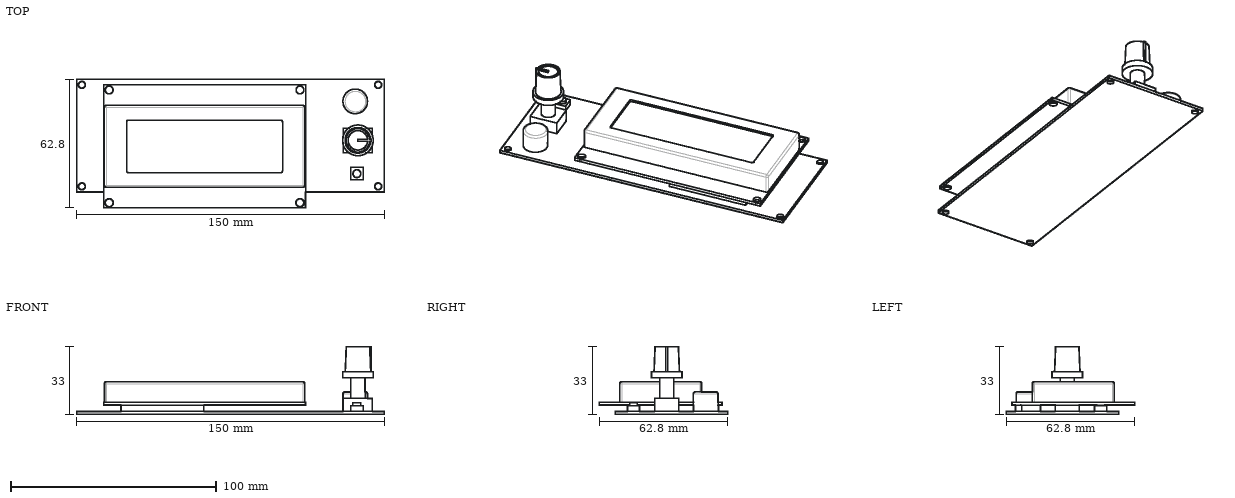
import cadquery as cq

BOARD_LENGTH = 150.0
BOARD_WIDTH = 55.0
BOARD_THICKNESS = 1.5
BOARD_HOLE_DIAMETER = 3.2
BOARD_HOLE_SPACING = (144.5, 49.5)
BOARD_HOLE_CENTER = (BOARD_LENGTH / 2 - 0.25, BOARD_WIDTH / 2)

DISPLAY_LENGTH = 98.5
DISPLAY_WIDTH = 60.0
DISPLAY_OVERHANG = 7.75
DISPLAY_LEFT = 13.1
DISPLAY_GAP = 3.0
DISPLAY_HOLE_DIAMETER = 3.8
DISPLAY_HOLE_SPACING = (93.0, 55.0)
DISPLAY_CENTER = (DISPLAY_LEFT + DISPLAY_LENGTH / 2, DISPLAY_WIDTH / 2 - DISPLAY_OVERHANG)
DISPLAY_BOTTOM = BOARD_THICKNESS + DISPLAY_GAP
DISPLAY_TOP = DISPLAY_BOTTOM + BOARD_THICKNESS

BEZEL_LENGTH = 97.7
BEZEL_WIDTH = 40.0
BEZEL_HEIGHT = 10.0
BEZEL_ROUNDING = 1.0
WINDOW_LENGTH = 76.0
WINDOW_WIDTH = 25.6
WINDOW_DEPTH = 1.0
WINDOW_CORNER_RADIUS = 0.8

CONNECTOR_LENGTH = 40.4
CONNECTOR_WIDTH = 3.0
CONNECTOR_CENTER = (41.8, 49.0)

BUZZER_DIAMETER = 12.0
BUZZER_HEIGHT = 9.5
BUZZER_ROUNDING = 1.0
BUZZER_CENTER = (135.8, 44.2)

ENCODER_CENTER = (137.1, 25.2)
ENCODER_LENGTH = 14.2
ENCODER_WIDTH = 11.9
ENCODER_HEIGHT = 6.3
SHAFT_DIAMETER = 7.0

KNOB_TOP = 33.0
KNOB_FLANGE_BOTTOM = 17.8
KNOB_FLANGE_TOP = 20.8
KNOB_FLANGE_DIAMETER = 15.0
KNOB_BASE_DIAMETER = 12.5
KNOB_CROWN_DIAMETER = 11.5
KNOB_RECESS_DIAMETER = 9.5
KNOB_RECESS_DEPTH = 0.5
POINTER_LENGTH = 6.5
POINTER_WIDTH = 1.0

BUTTON_CENTER = (136.6, 8.95)
BUTTON_SIZE = 6.0
BUTTON_HEIGHT = 2.8
BUTTON_CAP_DIAMETER = 3.8
BUTTON_CAP_HEIGHT = 1.3


def block(center, length, width, bottom, height):
    """Box centred on an XY point, standing on the level `bottom`."""
    plane = cq.Workplane("XY", origin=(*center, bottom))
    return plane.box(length, width, height, centered=(True, True, False))


def cylinder(center, diameter, bottom, height):
    """Upright cylinder standing on the level `bottom`."""
    return cq.Workplane("XY", origin=(*center, bottom)).circle(diameter / 2).extrude(height)


def corner_holes(center, spacing, diameter, bottom):
    """Four hole cutters through a board, one near each corner."""
    plane = cq.Workplane("XY", origin=(*center, bottom))
    return plane.rarray(*spacing, 2, 2).circle(diameter / 2).extrude(BOARD_THICKNESS)


def make_main_board():
    center = (BOARD_LENGTH / 2, BOARD_WIDTH / 2)
    board = block(center, BOARD_LENGTH, BOARD_WIDTH, 0, BOARD_THICKNESS)
    return board.cut(corner_holes(BOARD_HOLE_CENTER, BOARD_HOLE_SPACING, BOARD_HOLE_DIAMETER, 0))


def make_display():
    board = block(DISPLAY_CENTER, DISPLAY_LENGTH, DISPLAY_WIDTH, DISPLAY_BOTTOM, BOARD_THICKNESS)
    board = board.cut(
        corner_holes(DISPLAY_CENTER, DISPLAY_HOLE_SPACING, DISPLAY_HOLE_DIAMETER, DISPLAY_BOTTOM)
    )
    bezel = block(DISPLAY_CENTER, BEZEL_LENGTH, BEZEL_WIDTH, DISPLAY_TOP, BEZEL_HEIGHT)
    bezel = bezel.edges("|Z or >Z").fillet(BEZEL_ROUNDING)
    window_floor = DISPLAY_TOP + BEZEL_HEIGHT - WINDOW_DEPTH
    window = block(DISPLAY_CENTER, WINDOW_LENGTH, WINDOW_WIDTH, window_floor, WINDOW_DEPTH)
    window = window.edges("|Z").fillet(WINDOW_CORNER_RADIUS)
    return board.union(bezel.cut(window))


def make_connector():
    return block(CONNECTOR_CENTER, CONNECTOR_LENGTH, CONNECTOR_WIDTH, BOARD_THICKNESS, DISPLAY_GAP)


def make_buzzer():
    buzzer = cylinder(BUZZER_CENTER, BUZZER_DIAMETER, BOARD_THICKNESS, BUZZER_HEIGHT)
    return buzzer.faces(">Z").edges().fillet(BUZZER_ROUNDING)


def make_encoder():
    body = block(ENCODER_CENTER, ENCODER_LENGTH, ENCODER_WIDTH, BOARD_THICKNESS, ENCODER_HEIGHT)
    shaft_bottom = BOARD_THICKNESS + ENCODER_HEIGHT
    shaft_height = KNOB_FLANGE_BOTTOM - shaft_bottom
    return body.union(cylinder(ENCODER_CENTER, SHAFT_DIAMETER, shaft_bottom, shaft_height))


def make_knob():
    """Flanged, tapered knob with a dished top and a pointer rib running down its +X side."""
    half_profile = [
        (0, KNOB_FLANGE_BOTTOM),
        (KNOB_FLANGE_DIAMETER / 2, KNOB_FLANGE_BOTTOM),
        (KNOB_FLANGE_DIAMETER / 2, KNOB_FLANGE_TOP),
        (KNOB_BASE_DIAMETER / 2, KNOB_FLANGE_TOP),
        (KNOB_CROWN_DIAMETER / 2, KNOB_TOP),
        (KNOB_RECESS_DIAMETER / 2, KNOB_TOP),
        (KNOB_RECESS_DIAMETER / 2, KNOB_TOP - KNOB_RECESS_DEPTH),
        (0, KNOB_TOP - KNOB_RECESS_DEPTH),
    ]
    knob = cq.Workplane("XZ", origin=(*ENCODER_CENTER, 0)).polyline(half_profile).close()
    knob = knob.revolve(360, (0, 0), (0, 1))
    pointer_center = (ENCODER_CENTER[0] + POINTER_LENGTH / 2, ENCODER_CENTER[1])
    pointer_height = KNOB_TOP - KNOB_FLANGE_TOP
    pointer = block(pointer_center, POINTER_LENGTH, POINTER_WIDTH, KNOB_FLANGE_TOP, pointer_height)
    return knob.union(pointer)


def make_button():
    body = block(BUTTON_CENTER, BUTTON_SIZE, BUTTON_SIZE, BOARD_THICKNESS, BUTTON_HEIGHT)
    cap_bottom = BOARD_THICKNESS + BUTTON_HEIGHT
    return body.union(cylinder(BUTTON_CENTER, BUTTON_CAP_DIAMETER, cap_bottom, BUTTON_CAP_HEIGHT))


result = (
    make_main_board()
    .union(make_connector())
    .union(make_display())
    .union(make_buzzer())
    .union(make_encoder())
    .union(make_knob())
    .union(make_button())
)